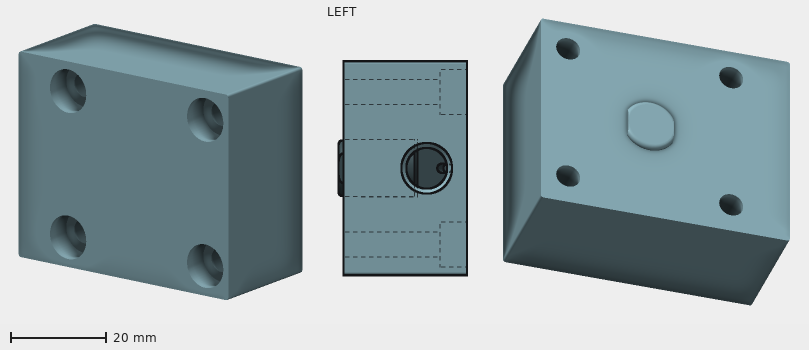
import cadquery as cq
import math

LENGTH = 55.0
DEPTH = 25.95
HEIGHT = 45.0
EDGE_FILLET = 0.6

FEATURE_X = 3.45

BOLT_SPACING_X = 35.95
BOLT_SPACING_Z = 32.0
BOLT_HOLE_DIAMETER = 5.3
COUNTERBORE_DIAMETER = 9.5
COUNTERBORE_DEPTH = 5.7

PORT_Y = 8.45
PORT_DIAMETER = 8.6
PORT_MOUTH_DIAMETER = 10.65
PORT_MOUTH_CHAMFER = (PORT_MOUTH_DIAMETER - PORT_DIAMETER) / 2
PORT_LENGTH = LENGTH / 2 + FEATURE_X

DRILLING_DIAMETER = 2.0
DRILLING_Y = 5.1
DRILLING_DEPTH = 2.0
DRILLING_ANGLE = math.radians(30)

PLUG_DIAMETER = 12.0
PLUG_END_Y = 10.45
PLUG_END_CHAMFER = 0.6
HEAD_HEIGHT = 1.05
HEAD_DIAMETER = 11.75
HEAD_FILLET = 0.95
HEAD_FLAT_WIDTH = 10.0


def cylinder(diameter, length, start, direction):
    return cq.Workplane(cq.Solid.makeCylinder(diameter / 2, length, cq.Vector(*start), cq.Vector(*direction)))


def make_bolt_hole_cutter(x, z):
    hole = cylinder(BOLT_HOLE_DIAMETER, DEPTH, (x, 0, z), (0, 1, 0))
    counterbore = cylinder(COUNTERBORE_DIAMETER, COUNTERBORE_DEPTH, (x, 0, z), (0, 1, 0))
    return hole.union(counterbore)


def make_port_cutter():
    mouth_start = cq.Vector(-LENGTH / 2, PORT_Y, 0)
    inward = cq.Vector(1, 0, 0)
    bore = cylinder(PORT_DIAMETER, PORT_LENGTH, mouth_start.toTuple(), inward.toTuple())
    mouth = cq.Solid.makeCone(
        PORT_MOUTH_DIAMETER / 2, PORT_DIAMETER / 2, PORT_MOUTH_CHAMFER, mouth_start, inward
    )
    return bore.union(cq.Workplane(mouth))


def make_drilling_cutter():
    direction = cq.Vector(math.cos(DRILLING_ANGLE), -math.sin(DRILLING_ANGLE), 0)
    wall_point = cq.Vector(-LENGTH / 2 + PORT_LENGTH, DRILLING_Y, 0)
    start = wall_point - direction * DRILLING_DIAMETER
    return cylinder(
        DRILLING_DIAMETER, DRILLING_DEPTH + DRILLING_DIAMETER, start.toTuple(), direction.toTuple()
    )


def make_housing():
    housing = cq.Workplane("XY").box(LENGTH, DEPTH, HEIGHT).translate((0, DEPTH / 2, 0))
    housing = housing.edges("|Y").fillet(EDGE_FILLET)
    for side_x in (-1, 1):
        for side_z in (-1, 1):
            bolt_x = FEATURE_X + side_x * BOLT_SPACING_X / 2
            bolt_z = side_z * BOLT_SPACING_Z / 2
            housing = housing.cut(make_bolt_hole_cutter(bolt_x, bolt_z))
    plug_bore = cylinder(PLUG_DIAMETER, DEPTH - PLUG_END_Y, (FEATURE_X, PLUG_END_Y, 0), (0, 1, 0))
    housing = housing.cut(plug_bore)
    return housing.cut(make_port_cutter()).cut(make_drilling_cutter())


def make_plug():
    body = cylinder(PLUG_DIAMETER, DEPTH - PLUG_END_Y, (FEATURE_X, PLUG_END_Y, 0), (0, 1, 0))
    body = body.faces("<Y").edges().chamfer(PLUG_END_CHAMFER)
    head = cylinder(HEAD_DIAMETER, HEAD_HEIGHT, (FEATURE_X, DEPTH, 0), (0, 1, 0))
    head = head.faces(">Y").edges().fillet(HEAD_FILLET)
    between_flats = cq.Workplane("XY").box(HEAD_FLAT_WIDTH, HEAD_HEIGHT, HEAD_DIAMETER)
    head = head.intersect(between_flats.translate((FEATURE_X, DEPTH + HEAD_HEIGHT / 2, 0)))
    return body.union(head)


housing = make_housing()
plug = make_plug()

result = cq.Compound.makeCompound([housing.val(), plug.val()])